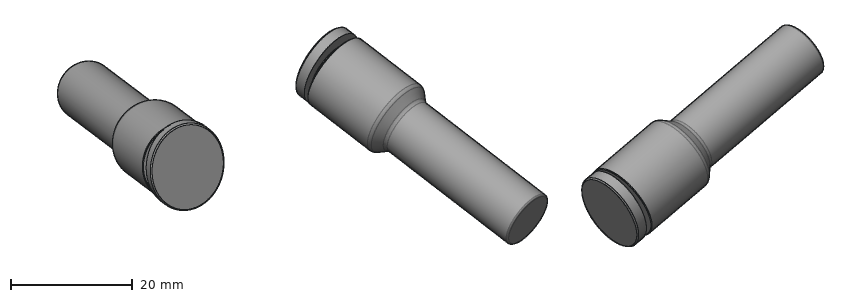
import cadquery as cq
import math

stem_radius = 5.0
stem_end_fillet = 0.295

body_radius = 6.8
body_end_x = 42.65
body_end_chamfer = 0.15
cone_end_x = 29.0
cone_angle = 41
cone_fillet = 1.0
cone_length = (body_radius - stem_radius) / math.tan(math.radians(cone_angle))
cone_start_x = cone_end_x - cone_length

neck_radius = 4.8
flange_start_x = 43.55
flange_end_x = 45.6
flange_width = 13.05
flange_height = 15.0
flange_chamfer = 0.25


def make_stem_and_body():
    """Turned stem, cone and sleeve about the X axis, with softened cone edges."""
    turned = (
        cq.Workplane("XY")
        .moveTo(0, 0)
        .lineTo(0, stem_radius)
        .lineTo(cone_start_x, stem_radius)
        .lineTo(cone_end_x, body_radius)
        .lineTo(body_end_x, body_radius)
        .lineTo(body_end_x, 0)
        .close()
        .revolve(360, (0, 0, 0), (1, 0, 0))
    )
    turned = turned.faces("%CONE").edges("%CIRCLE").fillet(cone_fillet)
    turned = turned.faces("<X").edges().fillet(stem_end_fillet)
    return turned.faces(">X").edges().chamfer(body_end_chamfer)


def make_neck():
    return (
        cq.Workplane("YZ", origin=(body_end_x, 0, 0))
        .circle(neck_radius)
        .extrude(flange_start_x - body_end_x)
    )


def make_flange():
    """Oval flange, taller than wide, chamfered on its outer face."""
    return (
        cq.Workplane("YZ", origin=(flange_start_x, 0, 0))
        .ellipse(flange_width / 2, flange_height / 2)
        .extrude(flange_end_x - flange_start_x)
        .faces(">X")
        .edges()
        .chamfer(flange_chamfer)
    )


result = make_stem_and_body().union(make_neck()).union(make_flange())